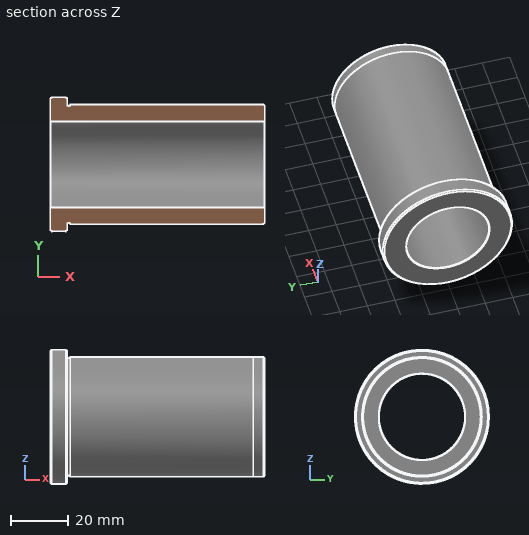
import cadquery as cq

total_length = 75.0
body_diameter = 42.0
flange_diameter = 47.0
flange_length = 6.0
bore_diameter = 30.0
edge_chamfer = 0.5
bore_chamfer = 0.2

relief_width = 1.0
relief_depth = 0.5

lead_length = 4.0
lead_diameter = 41.99


def cylinder_along_x(start, length, diameter):
    return cq.Workplane("YZ").workplane(offset=start).circle(diameter / 2).extrude(length)


def make_flange():
    flange = cylinder_along_x(0, flange_length, flange_diameter)
    return flange.faces("<X or >X").edges().chamfer(edge_chamfer)


def make_body():
    lead_start = total_length - lead_length
    body = cylinder_along_x(0, lead_start, body_diameter)
    lead = cylinder_along_x(lead_start, lead_length, lead_diameter)
    return body.union(lead.faces(">X").edges().chamfer(edge_chamfer))


def cut_relief(part):
    """Groove with a circular-arc section, turned into the body beside the flange."""
    body_radius = body_diameter / 2
    groove = (
        cq.Workplane("XY")
        .moveTo(flange_length, body_radius)
        .threePointArc(
            (flange_length + relief_width / 2, body_radius - relief_depth),
            (flange_length + relief_width, body_radius),
        )
        .close()
        .revolve(360, (0, 0, 0), (1, 0, 0))
    )
    return part.cut(groove)


def cut_bore(part):
    bore = cylinder_along_x(0, total_length, bore_diameter)
    end_faces = part.cut(bore).faces("<X or >X")
    return end_faces.edges(cq.selectors.RadiusNthSelector(0)).chamfer(bore_chamfer)


result = cut_bore(cut_relief(make_flange().union(make_body())))